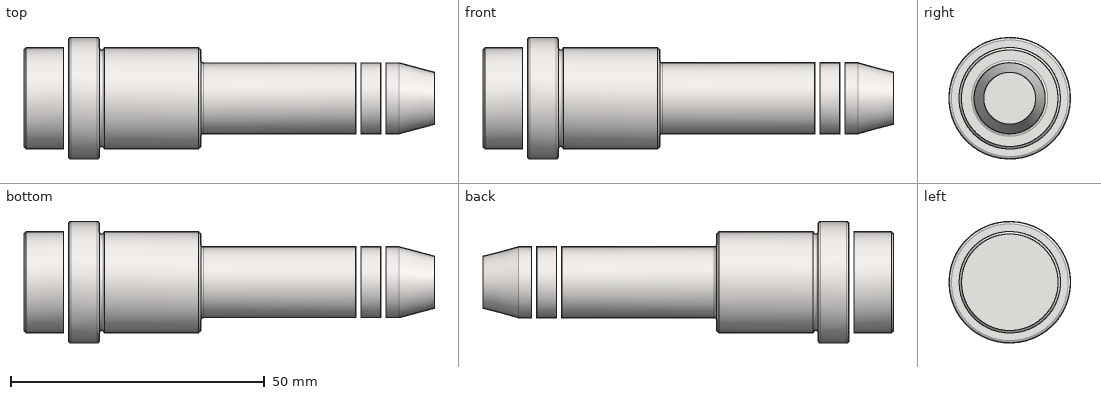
import cadquery as cq
import math

total_length = 81.0
collar_radius = 24.0 / 2
body_radius = 20.0 / 2
shank_radius = 14.0 / 2

collar_start = 8.8
collar_width = 6.1
collar_end = collar_start + collar_width
body_end = 34.9
tip_start = 73.95
shank_groove_centers = (65.9, 70.9)

edge_size = 0.5
groove_radius = 0.5
taper_angle = 15.0

tip_length = total_length - tip_start
tip_radius = shank_radius - tip_length * math.tan(math.radians(taper_angle))


def cylinder(start, end, radius):
    """Solid cylinder along X between two stations."""
    return cq.Workplane("YZ", origin=(start, 0, 0)).circle(radius).extrude(end - start)


def round_groove(center, radius):
    """Ring that cuts a half-round groove into a cylinder of the given radius."""
    return (
        cq.Workplane("XY")
        .center(center, radius)
        .circle(groove_radius)
        .revolve(360, (0, -radius, 0), (1, -radius, 0))
    )


def make_body():
    """Chamfered body with a relief groove on each side of the collar."""
    body = cylinder(0, body_end, body_radius).faces("<X or >X").chamfer(edge_size)
    for center in (collar_start - groove_radius, collar_end + groove_radius):
        body = body.cut(round_groove(center, body_radius))
    return body


def make_collar():
    """Collar with both outer edges rounded."""
    return cylinder(collar_start, collar_end, collar_radius).faces("<X or >X").edges().fillet(edge_size)


def make_shank():
    """Shank with a concave root fillet, two ring grooves and a conical tip."""
    root_end = body_end + edge_size
    arc_inset = edge_size * (1 - math.sqrt(0.5))
    shank = (
        cq.Workplane("XY")
        .moveTo(collar_end, 0)
        .lineTo(collar_end, shank_radius)
        .lineTo(body_end, shank_radius)
        .lineTo(body_end, shank_radius + edge_size)
        .threePointArc((body_end + arc_inset, shank_radius + arc_inset), (root_end, shank_radius))
        .lineTo(tip_start, shank_radius)
        .lineTo(total_length, tip_radius)
        .lineTo(total_length, 0)
        .close()
        .revolve(360, (0, 0, 0), (1, 0, 0))
    )
    for center in shank_groove_centers:
        shank = shank.cut(round_groove(center, shank_radius))
    return shank


result = make_body().union(make_collar()).union(make_shank())